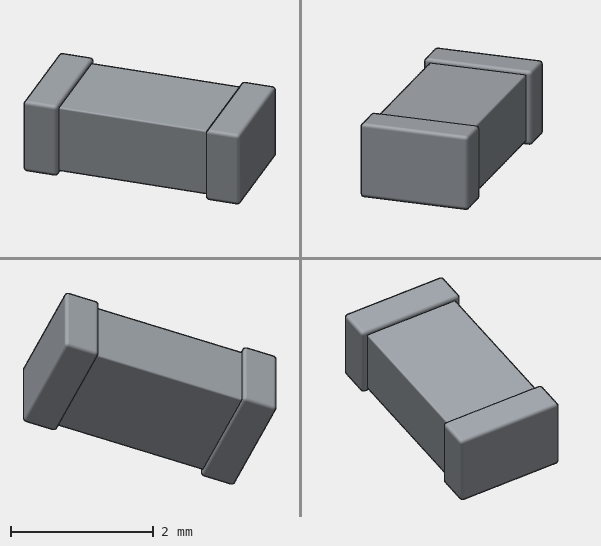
import cadquery as cq

length = 3.2
width = 1.6
height = 1.1

cap_length = 0.502
cap_edge_radius = 0.05

side_inset = 0.08
top_inset = 0.05
body_edge_radius = 0.025


def make_body():
    """Bar with rounded lengthwise edges, ending at the middle of each cap."""
    return (
        cq.Workplane("XY")
        .box(length - cap_length, width - 2 * side_inset, height - 2 * top_inset)
        .edges("|X")
        .fillet(body_edge_radius)
    )


def make_cap(center_x):
    """End cap with every edge rounded."""
    return (
        cq.Workplane("XY")
        .box(cap_length, width, height)
        .edges()
        .fillet(cap_edge_radius)
        .translate((center_x, 0, 0))
    )


result = make_body()
for side in (-1, 1):
    result = result.union(make_cap(side * (length - cap_length) / 2))